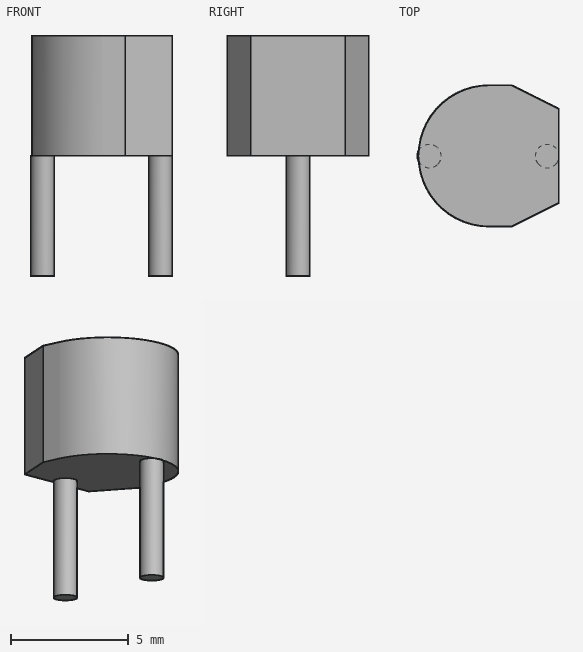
import cadquery as cq

housing_radius = 3.0
housing_height = 5.1
arc_center_x = 0.05
flank_end_x = 1.0
flat_x = 3.0
flat_half_width = 2.0

pin_diameter = 1.0
pin_length = 5.1
pin_spacing = 5.0


def make_housing():
    """D-shaped prism standing on the plane Z = 0."""
    return (
        cq.Workplane("XY")
        .moveTo(arc_center_x, housing_radius)
        .threePointArc(
            (arc_center_x - housing_radius, 0),
            (arc_center_x, -housing_radius),
        )
        .lineTo(flank_end_x, -housing_radius)
        .lineTo(flat_x, -flat_half_width)
        .lineTo(flat_x, flat_half_width)
        .lineTo(flank_end_x, housing_radius)
        .close()
        .extrude(housing_height)
    )


def make_pin(center_x):
    """Round lead hanging down from the underside of the housing."""
    return (
        cq.Workplane("XY")
        .center(center_x, 0)
        .circle(pin_diameter / 2)
        .extrude(-pin_length)
    )


housing = make_housing()
pins = [make_pin(side * pin_spacing / 2) for side in (-1, 1)]

result = cq.Compound.makeCompound([housing.val(), *[pin.val() for pin in pins]])